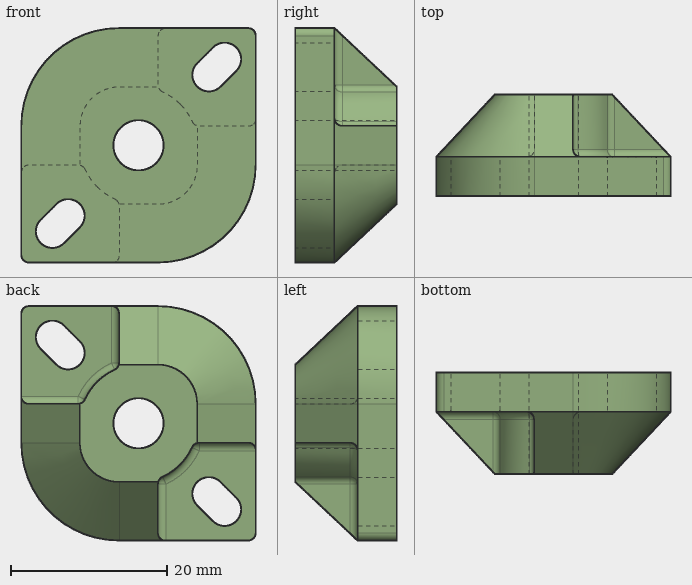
import cadquery as cq
import math

side = 30.0
plate_thickness = 5.0
total_depth = 13.0
large_corner_radius = 12.5
small_corner_radius = 1.0

boss_inset = 7.5
boss_depth = total_depth - plate_thickness
boss_taper = math.degrees(math.atan2(boss_inset, boss_depth))

pocket_wall = side / 2 - large_corner_radius
hub_radius = 7.5
pocket_fillet = 1.0

bore_diameter = 6.4
slot_width = 4.2
slot_inner = 9.0
slot_outer = 11.0

front_y = 0.0
plate_back_y = front_y + plate_thickness


def plane_at(y):
    """Sketch plane facing +Y; its local axes are Z and X."""
    return cq.Workplane("ZX", origin=(0, y, 0))


def make_plate():
    block = plane_at(front_y).rect(side, side).extrude(plate_thickness)
    for selector in (">X and <Z", "<X and >Z"):
        block = block.edges("|Y").edges(selector).fillet(large_corner_radius)
    for selector in (">X and >Z", "<X and <Z"):
        block = block.edges("|Y").edges(selector).fillet(small_corner_radius)
    return block


def make_boss():
    """Boss with two round corners; the pockets remove its two sharp corners."""
    half = side / 2
    arc_start = half - large_corner_radius
    arc_middle = arc_start + large_corner_radius * math.sqrt(0.5)
    return (
        plane_at(plate_back_y)
        .moveTo(half, half)
        .lineTo(-arc_start, half)
        .threePointArc((-arc_middle, arc_middle), (-half, arc_start))
        .lineTo(-half, -half)
        .lineTo(arc_start, -half)
        .threePointArc((arc_middle, -arc_middle), (half, -arc_start))
        .close()
        .extrude(boss_depth, taper=boss_taper)
    )


def make_pocket(direction):
    """Pocket in the +X+Z corner (direction 1) or the -X-Z corner (direction -1)."""
    pocket_size = side
    centre = direction * (pocket_wall + pocket_size / 2)
    block = plane_at(plate_back_y).center(centre, centre).rect(pocket_size, pocket_size).extrude(pocket_size)
    hub = plane_at(plate_back_y).circle(hub_radius).extrude(pocket_size)
    pocket = block.cut(hub)
    return pocket.edges("|Y").fillet(pocket_fillet).faces("<Y").edges().fillet(pocket_fillet)


def make_slot(direction):
    """Diagonal slot through the plate, on the same side as the matching pocket."""
    centre = direction * (slot_inner + slot_outer) / 2
    length = (slot_outer - slot_inner) * math.sqrt(2) + slot_width
    return plane_at(front_y).center(centre, centre).slot2D(length, slot_width, 45).extrude(total_depth)


result = make_plate().union(make_boss())
for corner_direction in (1, -1):
    result = result.cut(make_pocket(corner_direction))
    result = result.cut(make_slot(corner_direction))
result = result.cut(plane_at(front_y).circle(bore_diameter / 2).extrude(total_depth))